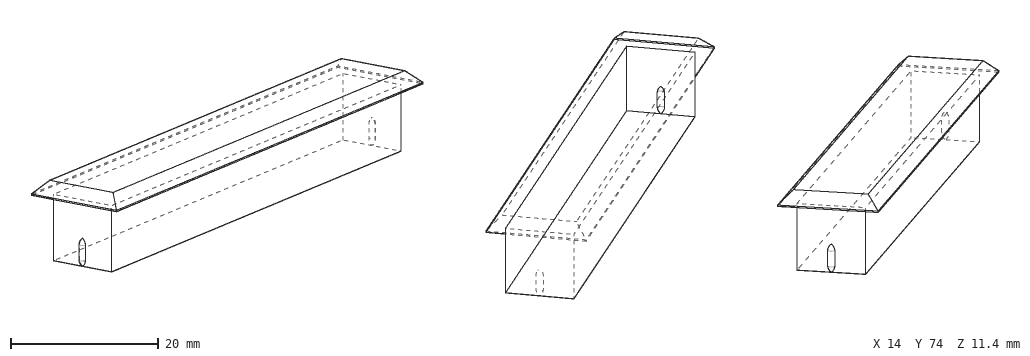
import cadquery as cq
import math

plate_length = 74.0
plate_width = 14.0
plate_thickness = 2.0
rim_height = 0.2
bevel = plate_thickness - rim_height

total_height = 11.4
block_length = 69.85
block_width = 9.55
block_height = total_height - plate_thickness

nib_radius = 0.5
nib_height = 4.0
tip_height = 0.9
tip_bulge = 0.1


def make_housing():
    """Block with the overhanging bevelled plate on top."""
    block = cq.Workplane("XY").box(block_width, block_length, block_height, centered=(True, True, False))
    plate = (
        cq.Workplane("XY", origin=(0, 0, block_height))
        .box(plate_width, plate_length, plate_thickness, centered=(True, True, False))
        .faces(">Z")
        .chamfer(bevel)
    )
    return block.union(plate)


def make_nib(end):
    """Upright half-round nib, flat against one end face; end is -1 or +1 along Y."""
    chord = math.hypot(nib_radius, tip_height)
    arc_x = nib_radius / 2 + tip_bulge * tip_height / chord
    arc_from_point = tip_height / 2 - tip_bulge * nib_radius / chord
    return (
        cq.Workplane("XZ", origin=(0, end * block_length / 2, 0))
        .lineTo(0, nib_height)
        .threePointArc((arc_x, nib_height - arc_from_point), (nib_radius, nib_height - tip_height))
        .lineTo(nib_radius, tip_height)
        .threePointArc((arc_x, arc_from_point), (0, 0))
        .close()
        .revolve(180, (0, 0, 0), (0, end, 0))
    )


housing = make_housing()
nibs = [make_nib(end) for end in (-1, 1)]

result = cq.Compound.makeCompound([housing.val(), *[nib.val() for nib in nibs]])